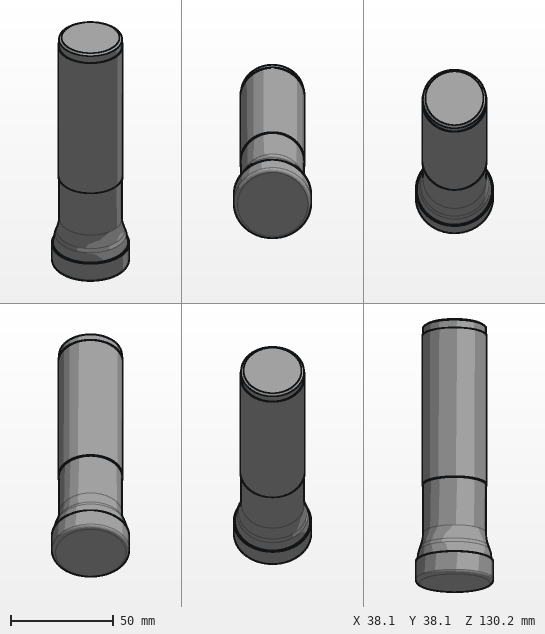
import cadquery as cq
import math

TOTAL_HEIGHT = 130.2
BASE_DIAMETER = 38.1

BASE_TOP = 11.2
BASE_TOP_CHAMFER = 0.4
BASE_BOTTOM_FILLET = 1.8

FLARE_ANGLE = math.radians(20)
CONVEX_BOTTOM = BASE_TOP
CONVEX_TOP = 16.4
CONE_TOP = 18.4
FLARE_TOP = 25.4

NECK_RADIUS = 15.5
GRIP_RADIUS = 15.9
GRIP_BOTTOM = 49.5
GRIP_BOTTOM_TAPER = 0.4

CAP_BOTTOM = 125.4
CAP_RADIUS = NECK_RADIUS
CAP_CHAMFER_WIDTH = 1.3
CAP_CHAMFER_HEIGHT = 0.9


def make_housing():
    """Revolve the base, flare, neck and grip as one solid."""
    base_radius = BASE_DIAMETER / 2

    concave_radius = (FLARE_TOP - CONE_TOP) / math.sin(FLARE_ANGLE)
    convex_radius = (CONVEX_TOP - CONVEX_BOTTOM) / math.sin(FLARE_ANGLE)
    half_angle = FLARE_ANGLE / 2
    concave_center = NECK_RADIUS + concave_radius
    cone_top_radius = concave_center - concave_radius * math.cos(FLARE_ANGLE)
    cone_bottom_radius = cone_top_radius + (CONE_TOP - CONVEX_TOP) * math.tan(FLARE_ANGLE)
    convex_center = cone_bottom_radius - convex_radius * math.cos(FLARE_ANGLE)
    flare_bottom_radius = convex_center + convex_radius

    convex_middle = (
        convex_center + convex_radius * math.cos(half_angle),
        CONVEX_BOTTOM + convex_radius * math.sin(half_angle),
    )
    concave_middle = (
        concave_center - concave_radius * math.cos(half_angle),
        FLARE_TOP - concave_radius * math.sin(half_angle),
    )

    profile = (
        cq.Workplane("XZ")
        .moveTo(0, 0)
        .lineTo(base_radius - BASE_BOTTOM_FILLET, 0)
        .tangentArcPoint((base_radius, BASE_BOTTOM_FILLET), relative=False)
        .lineTo(base_radius, BASE_TOP - BASE_TOP_CHAMFER)
        .lineTo(base_radius - BASE_TOP_CHAMFER, BASE_TOP)
        .lineTo(flare_bottom_radius, BASE_TOP)
        .threePointArc(convex_middle, (cone_bottom_radius, CONVEX_TOP))
        .lineTo(cone_top_radius, CONE_TOP)
        .threePointArc(concave_middle, (NECK_RADIUS, FLARE_TOP))
        .lineTo(NECK_RADIUS, GRIP_BOTTOM)
        .lineTo(GRIP_RADIUS, GRIP_BOTTOM + GRIP_BOTTOM_TAPER)
        .lineTo(GRIP_RADIUS, CAP_BOTTOM)
        .lineTo(0, CAP_BOTTOM)
        .close()
    )
    return profile.revolve(360, (0, 0), (0, 1))


def make_end_cap():
    """Revolve the cap, a disc with a chamfered top rim."""
    profile = (
        cq.Workplane("XZ")
        .moveTo(0, CAP_BOTTOM)
        .lineTo(CAP_RADIUS, CAP_BOTTOM)
        .lineTo(CAP_RADIUS, TOTAL_HEIGHT - CAP_CHAMFER_HEIGHT)
        .lineTo(CAP_RADIUS - CAP_CHAMFER_WIDTH, TOTAL_HEIGHT)
        .lineTo(0, TOTAL_HEIGHT)
        .close()
    )
    return profile.revolve(360, (0, 0), (0, 1))


housing = make_housing()
end_cap = make_end_cap()

result = cq.Compound.makeCompound([housing.val(), end_cap.val()])